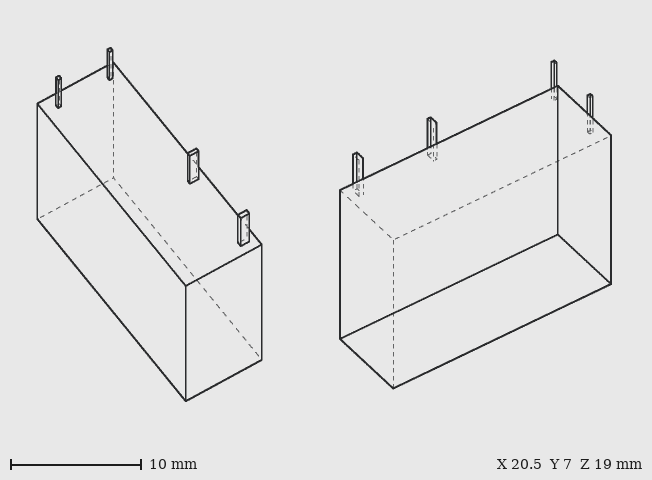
import cadquery as cq

LENGTH = 20.5
WIDTH = 7.0
TOTAL_HEIGHT = 19.0
PIN_HEIGHT = 3.71
HOUSING_HEIGHT = TOTAL_HEIGHT - PIN_HEIGHT

BACK_ROW_Y = 5.97
ROW_SPACING = 4.72
FRONT_ROW_Y = BACK_ROW_Y - ROW_SPACING
COIL_PIN_X = 1.09
MIDDLE_CONTACT_X = 12.57
END_CONTACT_X = 19.54

COIL_PIN_SIDE = 0.3
CONTACT_PIN_WIDTH = 0.8
MIDDLE_CONTACT_THICKNESS = 0.3
END_CONTACT_THICKNESS = 0.39


def make_housing():
    """Plain block standing on the XY plane."""
    return cq.Workplane("XY").box(LENGTH, WIDTH, HOUSING_HEIGHT, centered=False)


def make_pin(x, y, size_x, size_y):
    """Straight rectangular pin standing on the top face of the housing."""
    return (
        cq.Workplane("XY", origin=(x, y, HOUSING_HEIGHT))
        .rect(size_x, size_y)
        .extrude(PIN_HEIGHT)
    )


housing = make_housing()

coil_pins = [
    make_pin(COIL_PIN_X, row_y, COIL_PIN_SIDE, COIL_PIN_SIDE)
    for row_y in (FRONT_ROW_Y, BACK_ROW_Y)
]

contact_pins = [
    make_pin(x, BACK_ROW_Y, thickness, CONTACT_PIN_WIDTH)
    for x, thickness in (
        (MIDDLE_CONTACT_X, MIDDLE_CONTACT_THICKNESS),
        (END_CONTACT_X, END_CONTACT_THICKNESS),
    )
]

result = cq.Compound.makeCompound(
    [housing.val()] + [pin.val() for pin in coil_pins + contact_pins]
)